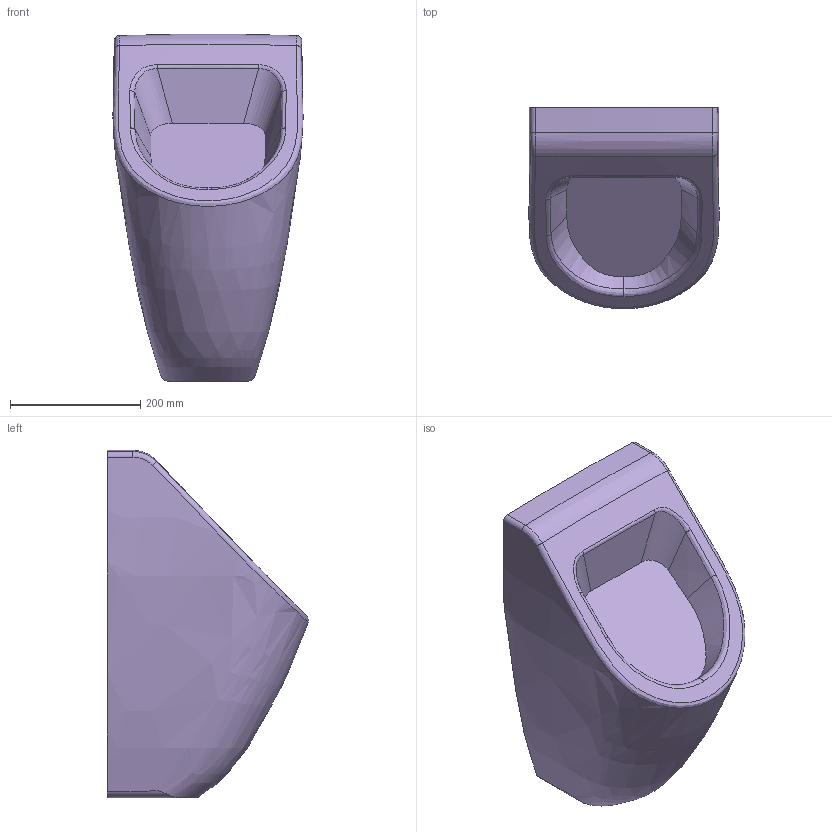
import cadquery as cq
import math


HEIGHT = 534.0
SECTIONS = [
    (0.0, 70.0, 138.5),
    (40.0, 81.5, 187.0),
    (95.0, 97.5, 227.0),
    (185.0, 116.5, 274.0),
    (275.0, 131.5, 310.8),
    (400.0, 145.4, 362.0),
    (HEIGHT, 144.8, 395.0),
]

DEEPEST_SECTION = max(depth for _, _, depth in SECTIONS)
BACK_OVERRUN = 40.0
NOSE_RATIO = 0.96
SIDE_STEPS = 3
NOSE_STEPS = 8

LEDGE_DEPTH = 60.5
LEDGE_BEND_RADIUS = 50.0
RIM_ANGLE = math.radians(46.1)
CROWN_RADIUS = 3800.0
CROWN_HALF_ANGLE = 4.0
RIM_EDGE_RADIUS = 8.0

FOOT_HALF_WIDTH = 69.5
FOOT_FLARE = 0.32
FOOT_CORNER_RADIUS = 17.0

BOWL_OVERRUN = 3.0
MOUTH_EDGE_RADIUS = 8.0
MOUTH = dict(half_width=116.5, corner_width=36.5, back=108.0, corner_end=141.0, nose_start=199.0, front=286.5)
FLOOR_ANGLE = math.radians(37.3)
FLOOR_BACK_HEIGHT = 397.0
FLOOR = dict(half_width=88.0, corner_width=33.5, back=100.0, corner_end=126.0, nose_start=167.0, front=260.0)

MARGIN = 100.0


def section_wire(height, half_width, depth):
    """Horizontal U section running past the back face; one curve follows its sides and nose."""
    nose_length = NOSE_RATIO * half_width
    nose_start = -(depth - nose_length)
    side = [(half_width, nose_start * step / SIDE_STEPS) for step in range(SIDE_STEPS)]
    nose = []
    for step in range(NOSE_STEPS + 1):
        angle = math.pi * step / NOSE_STEPS
        nose.append((half_width * math.cos(angle), nose_start - nose_length * math.sin(angle)))
    other_side = [(-x, y) for x, y in reversed(side)]
    start = (half_width, BACK_OVERRUN)
    end = (-half_width, BACK_OVERRUN)
    outline = (
        cq.Workplane("XY", origin=(0, 0, height))
        .spline([start] + side + nose + other_side + [end], tangents=[(0, -1), (0, 1)])
        .close()
    )
    return outline.val()


def make_body():
    wires = [section_wire(*section) for section in SECTIONS]
    return cq.Workplane(cq.Solid.makeLoft(wires))


def make_top_trim():
    """Side profile of ledge and slope, revolved about a far axis along Y to crown it."""
    reach = DEEPEST_SECTION + MARGIN
    slope_end = HEIGHT - (reach - LEDGE_DEPTH) * math.tan(RIM_ANGLE)
    tangent = LEDGE_BEND_RADIUS * math.tan(RIM_ANGLE / 2)
    bend_start = LEDGE_DEPTH - tangent
    bend_mid_depth = bend_start + LEDGE_BEND_RADIUS * math.sin(RIM_ANGLE / 2)
    bend_mid_height = HEIGHT - LEDGE_BEND_RADIUS * (1 - math.cos(RIM_ANGLE / 2))
    bend_end_depth = LEDGE_DEPTH + tangent * math.cos(RIM_ANGLE)
    bend_end_height = HEIGHT - tangent * math.sin(RIM_ANGLE)
    base = -2 * MARGIN
    profile = (
        cq.Workplane("YZ")
        .moveTo(MARGIN, HEIGHT)
        .lineTo(-bend_start, HEIGHT)
        .threePointArc((-bend_mid_depth, bend_mid_height), (-bend_end_depth, bend_end_height))
        .lineTo(-reach, slope_end)
        .lineTo(-reach, base)
        .lineTo(MARGIN, base)
        .close()
    )
    axis_height = HEIGHT - CROWN_RADIUS
    crowned = profile.revolve(2 * CROWN_HALF_ANGLE, (0, axis_height), (1, axis_height))
    return crowned.rotate((0, 0, axis_height), (0, 1, axis_height), -CROWN_HALF_ANGLE)


def make_foot_trim():
    """Flared prism along Y whose rounded lower corners soften the foot."""
    top_half = FOOT_HALF_WIDTH + FOOT_FLARE * HEIGHT
    prism = (
        cq.Workplane("XZ", origin=(0, MARGIN, 0))
        .polyline([(-FOOT_HALF_WIDTH, 0), (FOOT_HALF_WIDTH, 0), (top_half, HEIGHT), (-top_half, HEIGHT)])
        .close()
        .extrude(2 * MARGIN + DEEPEST_SECTION)
    )
    return prism.edges("|Y and <Z").fillet(FOOT_CORNER_RADIUS)


def bowl_wire(outline, depth, height, angle, offset=0.0):
    """Bowl outline on a plane sloping down forwards through (depth, height), raised by offset."""
    normal = (0, -math.sin(angle), math.cos(angle))
    origin = (0, -depth + offset * normal[1], height + offset * normal[2])
    plane = cq.Plane(origin=origin, xDir=(1, 0, 0), normal=normal)

    def along(distance):
        return (-distance - origin[1]) / math.cos(angle)

    half = outline["half_width"]
    flat = half - outline["corner_width"]
    back = along(outline["back"])
    corner_end = along(outline["corner_end"])
    nose_start = along(outline["nose_start"])
    front = along(outline["front"])
    diagonal = math.sqrt(0.5)

    def quarter(work, start, end, centre):
        """Curve close to a quarter ellipse between two points square to the centre."""
        mid_x = centre[0] + diagonal * (start[0] + end[0] - 2 * centre[0])
        mid_y = centre[1] + diagonal * (start[1] + end[1] - 2 * centre[1])
        tangent_in = (end[0] - centre[0], end[1] - centre[1])
        tangent_out = (centre[0] - start[0], centre[1] - start[1])
        return work.spline([(mid_x, mid_y), end], tangents=[tangent_in, tangent_out], includeCurrent=True)

    work = cq.Workplane(plane).moveTo(-flat, back).lineTo(flat, back)
    work = quarter(work, (flat, back), (half, corner_end), (flat, corner_end))
    work = work.lineTo(half, nose_start)
    work = quarter(work, (half, nose_start), (0, front), (0, nose_start))
    work = quarter(work, (0, front), (-half, nose_start), (0, nose_start))
    work = work.lineTo(-half, corner_end)
    work = quarter(work, (-half, corner_end), (-flat, back), (-flat, corner_end))
    return work.close().val()


def make_bowl():
    mouth = bowl_wire(MOUTH, LEDGE_DEPTH, HEIGHT, RIM_ANGLE, BOWL_OVERRUN)
    floor = bowl_wire(FLOOR, FLOOR["back"], FLOOR_BACK_HEIGHT, FLOOR_ANGLE)
    return cq.Workplane(cq.Solid.makeLoft([floor, mouth], True))


def round_rim(body):
    """Round the edges where the ledge, bend and slope meet the side of the body."""
    top_types = ("CYLINDER", "TORUS", "CONE")
    top_faces = [f for f in body.faces().vals() if f.geomType() in top_types and f.Center().z > MARGIN]
    side = max(body.faces("%BSPLINE").vals(), key=lambda face: face.Area())
    side_edges = side.Edges()
    rim = [e for f in top_faces for e in f.Edges() if any(e.isSame(other) for other in side_edges)]
    return body.newObject(rim).fillet(RIM_EDGE_RADIUS)


def trim_back(body):
    """Cut the overrun away so the back face lies on Y = 0."""
    size = 2 * HEIGHT
    front_space = cq.Workplane("XY").box(size, size, 2 * size).translate((0, -size / 2, 0))
    return body.intersect(front_space)


def round_mouth(body):
    """Round the edge where the bowl breaks through the sloping rim face."""
    slope = max(body.faces("%CONE").vals(), key=lambda face: face.Area())
    mouth = max(slope.innerWires(), key=lambda wire: wire.Length())
    return body.newObject(mouth.Edges()).fillet(MOUTH_EDGE_RADIUS)


shell = make_body().intersect(make_top_trim()).intersect(make_foot_trim())
shell = trim_back(round_rim(shell))
result = round_mouth(shell.cut(make_bowl()))